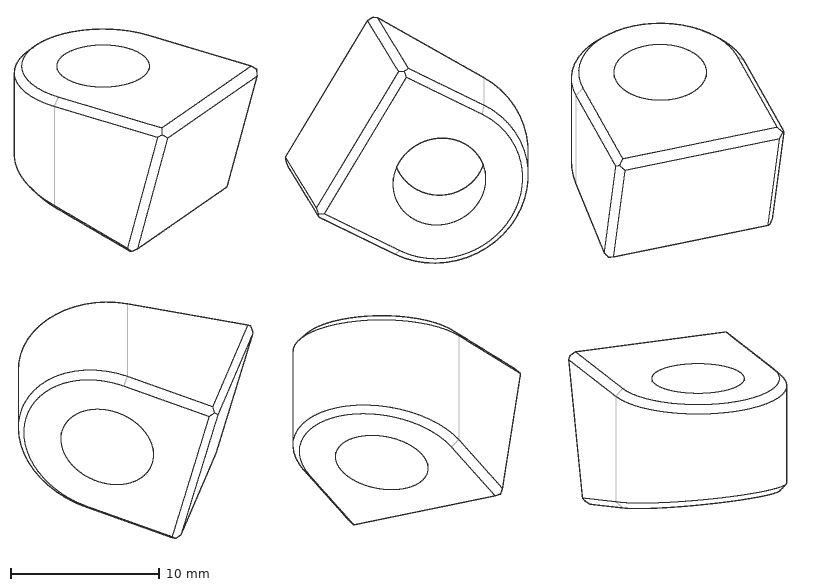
import cadquery as cq
import math

WIDTH = 12.0
TOP_LENGTH_PAST_AXIS = 9.0
DEPTH_AT_AXIS = 8.52
TILT_ANGLE = 15.0
HOLE_DIAMETER = 6.25
CHAMFER = 0.5

END_RADIUS = WIDTH / 2
INNER_RADIUS = END_RADIUS - CHAMFER
TILT = math.radians(TILT_ANGLE)
SIN_TILT = math.sin(TILT)
COS_TILT = math.cos(TILT)
SLOPE = math.tan(TILT)

END_FACE_LENGTH = (DEPTH_AT_AXIS + TOP_LENGTH_PAST_AXIS * SLOPE) * COS_TILT
HEEL_X = TOP_LENGTH_PAST_AXIS - END_FACE_LENGTH * SIN_TILT
HEEL_Z = -END_FACE_LENGTH * COS_TILT

ACUTE_SETBACK = CHAMFER / math.tan((math.pi / 2 - TILT) / 2)

RIM_Z = -DEPTH_AT_AXIS + CHAMFER / COS_TILT
RIM_SLOPE = SLOPE * INNER_RADIUS / END_RADIUS

BLANK_HEIGHT = 2 * DEPTH_AT_AXIS


def bottom_z(x):
    """Height of the sloping bottom plane at a given X."""
    return -DEPTH_AT_AXIS - x * SLOPE


def side_prism(points):
    """Prism across the full width from an XZ outline."""
    return cq.Workplane("XZ").polyline(points).close().extrude(END_RADIUS, both=True)


def upper_body():
    """Round-ended block with its top rim chamfered, down to the rim of the bottom chamfer."""
    block = (
        cq.Workplane("XY")
        .moveTo(TOP_LENGTH_PAST_AXIS, END_RADIUS)
        .lineTo(0, END_RADIUS)
        .threePointArc((-END_RADIUS, 0), (0, -END_RADIUS))
        .lineTo(TOP_LENGTH_PAST_AXIS, -END_RADIUS)
        .close()
        .extrude(-BLANK_HEIGHT)
    )
    block = block.edges(">Z").edges("not >X").chamfer(CHAMFER)
    above_rim = side_prism([
        (-END_RADIUS, 0),
        (TOP_LENGTH_PAST_AXIS, 0),
        (TOP_LENGTH_PAST_AXIS, RIM_Z - TOP_LENGTH_PAST_AXIS * SLOPE),
        (0, RIM_Z),
        (-END_RADIUS, RIM_Z + END_RADIUS * RIM_SLOPE),
    ])
    return block.intersect(above_rim)


def half_ellipse(center, slope, radius):
    """Closed half ellipse on the -X side: a cylinder of this radius cut by a sloping plane."""
    plane = cq.Plane(origin=center, xDir=(0, 1, 0), normal=(slope, 0, 1))
    long_radius = radius * math.hypot(1, slope)
    outline = cq.Workplane(plane).ellipseArc(radius, long_radius, 0, 180, startAtCurrent=False)
    return outline.close().val()


def round_bottom_layer():
    """Chamfered bottom layer under the round end, ruled between the rim and the bottom face."""
    rim = half_ellipse((0, 0, RIM_Z), RIM_SLOPE, END_RADIUS)
    foot_x = -CHAMFER * SIN_TILT
    foot = half_ellipse((foot_x, 0, bottom_z(foot_x)), SLOPE, INNER_RADIUS)
    return cq.Workplane(cq.Solid.makeLoft([rim, foot], True))


def straight_bottom_layer():
    """Chamfered bottom layer between the straight sides, running down the slope to the heel."""
    plane = cq.Plane(origin=(0, 0, RIM_Z), xDir=(0, 1, 0), normal=(COS_TILT, 0, -SIN_TILT))
    section = [
        (-END_RADIUS, 0),
        (END_RADIUS, 0),
        (INNER_RADIUS, -CHAMFER),
        (-INNER_RADIUS, -CHAMFER),
    ]
    return cq.Workplane(plane).polyline(section).close().extrude(TOP_LENGTH_PAST_AXIS)


def end_profile():
    """Full side profile with the corners above and below the end face chamfered."""
    return side_prism([
        (-END_RADIUS, 0),
        (TOP_LENGTH_PAST_AXIS - ACUTE_SETBACK, 0),
        (TOP_LENGTH_PAST_AXIS - ACUTE_SETBACK * SIN_TILT, -ACUTE_SETBACK * COS_TILT),
        (HEEL_X + CHAMFER * SIN_TILT, HEEL_Z + CHAMFER * COS_TILT),
        (HEEL_X - CHAMFER * COS_TILT, HEEL_Z + CHAMFER * SIN_TILT),
        (-END_RADIUS, bottom_z(-END_RADIUS)),
    ])


def end_corner_prism():
    """Prism along the end face that chamfers the two edges between end face and sides."""
    plane = cq.Plane(
        origin=(TOP_LENGTH_PAST_AXIS, 0, 0),
        xDir=(COS_TILT, 0, -SIN_TILT),
        normal=(SIN_TILT, 0, COS_TILT),
    )
    reach = 2 * (TOP_LENGTH_PAST_AXIS + END_RADIUS)
    section = [
        (-reach, -END_RADIUS),
        (-CHAMFER, -END_RADIUS),
        (0, -INNER_RADIUS),
        (0, INNER_RADIUS),
        (-CHAMFER, END_RADIUS),
        (-reach, END_RADIUS),
    ]
    return cq.Workplane(plane).polyline(section).close().extrude(BLANK_HEIGHT, both=True)


def through_hole():
    """Vertical hole on the axis of the round end."""
    return cq.Workplane("XY").circle(HOLE_DIAMETER / 2).extrude(-BLANK_HEIGHT)


body = upper_body().union(round_bottom_layer()).union(straight_bottom_layer())
body = body.intersect(end_profile()).intersect(end_corner_prism())
body = body.cut(through_hole()).clean()
result = cq.Workplane(body.solids().val())